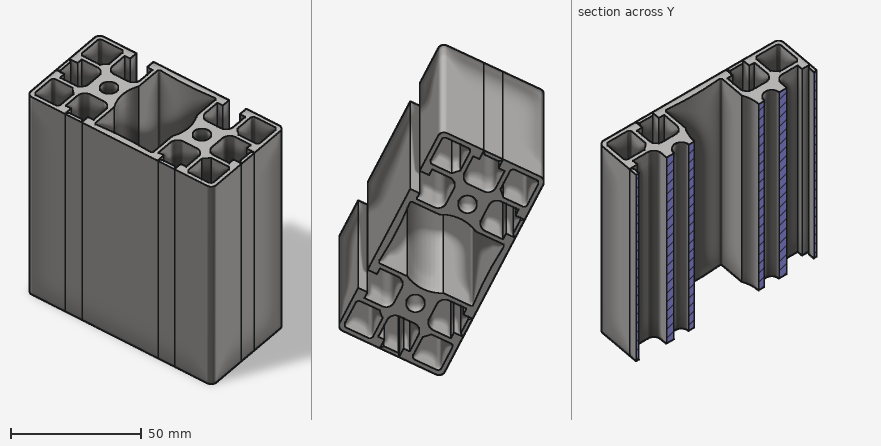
import cadquery as cq

WIDTH = 90.0
DEPTH = 45.0
LENGTH = 100.0
CORNER_RADIUS = 2.5

MODULE = DEPTH
HALF_MODULE = MODULE / 2
CORE_OFFSET = WIDTH / 2 - HALF_MODULE
CORE_HOLE_DIAMETER = 7.2

SLOT_OPENING = 8.2
SLOT_WIDTH = 13.5
SLOT_DEPTH = 15.0
LIP_THICKNESS = 4.0
SLOT_FLOOR_RADIUS = 3.5

COVER_THICKNESS = 1.5
COVER_EDGE_THICKNESS = 0.3
COVER_BEVEL_WIDTH = 1.0

CHAMBER_WALL = 1.85
CHAMBER_SIZE = HALF_MODULE - SLOT_WIDTH / 2 - 2 * CHAMBER_WALL
CHAMBER_RADIUS = 1.4
CHAMBER_CHAMFER = 2.5

CENTRE_SIDE_WALL = 1.75
CENTRE_HALF_WIDTH = CORE_OFFSET - SLOT_WIDTH / 2 - CENTRE_SIDE_WALL
CENTRE_BULGE_RADIUS = 16.0
CENTRE_CORNER_WALL = 2.3
CENTRE_MID_WALL = 3.0
CENTRE_CORNER_RADIUS = 0.8

FACING_BACK = 0
FACING_LEFT = 90
FACING_FRONT = 180
FACING_RIGHT = 270


def make_body():
    """Solid bar with rounded long edges."""
    bar = cq.Workplane("XY").rect(WIDTH, DEPTH).extrude(LENGTH)
    return bar.edges("|Z").fillet(CORNER_RADIUS)


def place_in_module(shape, module_x, facing):
    """Turn a shape made for the +Y side and move it to a module core."""
    return shape.rotate((0, 0, 0), (0, 0, 1), facing).translate((module_x, 0, 0))


def make_slot():
    """T-slot void opening towards +Y, measured from the module core."""
    floor_y = HALF_MODULE - SLOT_DEPTH
    lip_y = HALF_MODULE - LIP_THICKNESS
    cavity = (
        cq.Workplane("XY")
        .center(0, (floor_y + lip_y) / 2)
        .rect(SLOT_WIDTH, lip_y - floor_y)
        .extrude(LENGTH)
        .edges("|Z and <Y")
        .fillet(SLOT_FLOOR_RADIUS)
    )
    mouth = (
        cq.Workplane("XY")
        .center(0, HALF_MODULE - LIP_THICKNESS / 2)
        .rect(SLOT_OPENING, LIP_THICKNESS)
        .extrude(LENGTH)
    )
    return cavity.union(mouth)


def make_cover():
    """Strip closing a slot mouth, bevelled to a thin web along both edges."""
    edge_x = SLOT_OPENING / 2
    bevel_x = edge_x - COVER_BEVEL_WIDTH
    edge_y = HALF_MODULE - COVER_EDGE_THICKNESS
    inner_y = HALF_MODULE - COVER_THICKNESS
    return (
        cq.Workplane("XY")
        .moveTo(-edge_x, HALF_MODULE)
        .lineTo(-edge_x, edge_y)
        .lineTo(-bevel_x, inner_y)
        .lineTo(bevel_x, inner_y)
        .lineTo(edge_x, edge_y)
        .lineTo(edge_x, HALF_MODULE)
        .close()
        .extrude(LENGTH)
    )


def make_corner_chamber():
    """Chamber in the +X +Y corner of the bar, chamfered towards the core."""
    offset = CHAMBER_WALL + CHAMBER_SIZE / 2
    block = (
        cq.Workplane("XY")
        .center(WIDTH / 2 - offset, DEPTH / 2 - offset)
        .rect(CHAMBER_SIZE, CHAMBER_SIZE)
        .extrude(LENGTH)
    )
    block = block.edges("|Z and (>X or >Y)").fillet(CHAMBER_RADIUS)
    return block.edges("|Z").edges("<(1, 1, 0)").chamfer(CHAMBER_CHAMFER)


def make_centre_chamber():
    """Central void: slightly arched long walls, side walls bulging outwards."""
    corner_y = DEPTH / 2 - CENTRE_CORNER_WALL
    mid_y = DEPTH / 2 - CENTRE_MID_WALL
    box = (
        cq.Workplane("XY")
        .moveTo(-CENTRE_HALF_WIDTH, -corner_y)
        .threePointArc((0, -mid_y), (CENTRE_HALF_WIDTH, -corner_y))
        .lineTo(CENTRE_HALF_WIDTH, corner_y)
        .threePointArc((0, mid_y), (-CENTRE_HALF_WIDTH, corner_y))
        .close()
        .extrude(LENGTH)
        .edges("|Z")
        .fillet(CENTRE_CORNER_RADIUS)
    )
    bulge = cq.Workplane("XY").circle(CENTRE_BULGE_RADIUS).extrude(LENGTH)
    return box.union(bulge)


def make_module_cuts(module_x, outward):
    """Slots and core hole of one end module."""
    hole = cq.Workplane("XY").circle(CORE_HOLE_DIAMETER / 2).extrude(LENGTH)
    cuts = hole.translate((module_x, 0, 0))
    for facing in (FACING_BACK, FACING_FRONT, outward):
        cuts = cuts.union(place_in_module(make_slot(), module_x, facing))
    return cuts


result = make_body().cut(make_centre_chamber())

right_chamber = make_corner_chamber()
for chamber in (right_chamber, right_chamber.mirror("YZ")):
    result = result.cut(chamber).cut(chamber.mirror("XZ"))

for module_x, outward in ((-CORE_OFFSET, FACING_LEFT), (CORE_OFFSET, FACING_RIGHT)):
    result = result.cut(make_module_cuts(module_x, outward))
    for facing in (FACING_FRONT, outward):
        result = result.union(place_in_module(make_cover(), module_x, facing))